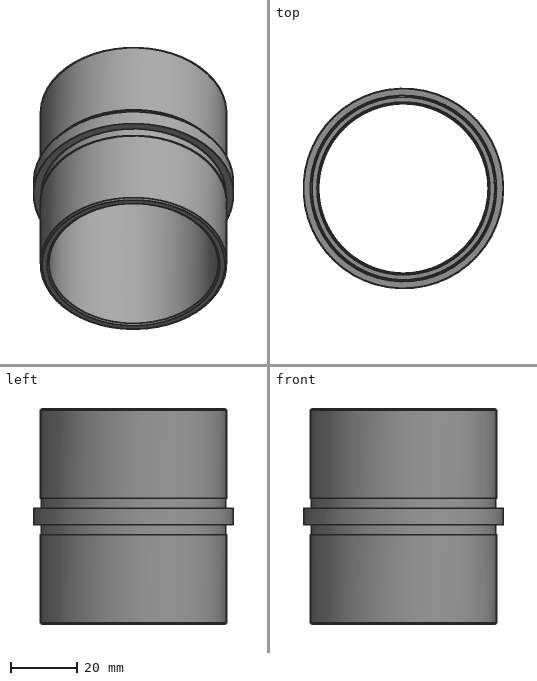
import cadquery as cq

length = 65.0
outer_radius = 28.1
bore_radius = 25.55
collar_radius = 30.15
collar_height = 5.0

relief_depth = 0.2
relief_span = 11.0

end_chamfer = 0.5


def disc(radius, height):
    """Solid disc on the Z axis, centred on mid-height."""
    return cq.Workplane("XY", origin=(0, 0, -height / 2)).circle(radius).extrude(height)


body = disc(outer_radius, length).edges().chamfer(end_chamfer)

belt = disc(outer_radius, relief_span).cut(disc(outer_radius - relief_depth, relief_span))
body = body.cut(belt)

body = body.union(disc(collar_radius, collar_height))

bore = disc(bore_radius, length)
mouth_radius = bore_radius + end_chamfer
for end in (-1, 1):
    mouth = cq.Solid.makeCone(
        mouth_radius,
        bore_radius,
        end_chamfer,
        pnt=cq.Vector(0, 0, end * length / 2),
        dir=cq.Vector(0, 0, -end),
    )
    bore = bore.union(cq.Workplane(mouth))

result = body.cut(bore)